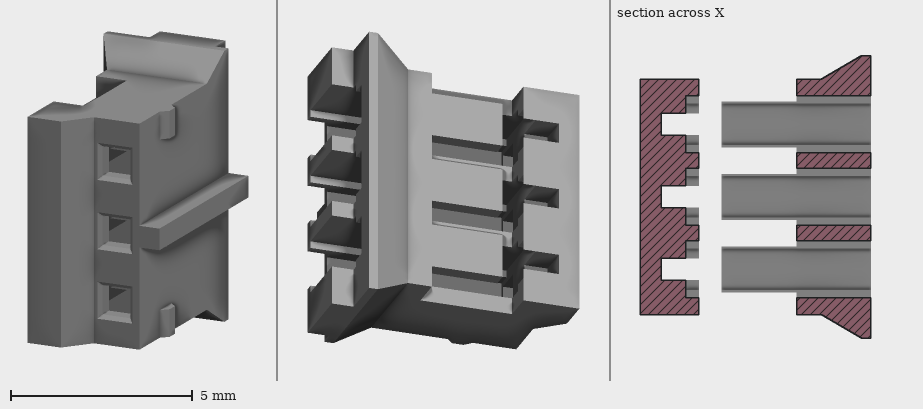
import cadquery as cq


total_height = 7.8
total_width = 4.31
total_depth = 7.0

body_left = 0.65
body_right = 3.705
body_height = total_height - 2 * body_left
body_front = 0.765
lip_width = 1.02
lip_slope_width = 0.64
flare_start = 5.0
flange_front = 6.11
flange_rear = 6.365

tab_left = 1.295
tab_right = 3.3

rib_thickness = 0.625
bump_height = 0.21
bump_thickness = 0.795
bump_centre = 2.395
bump_half_base = 0.37
bump_half_flat = 0.16

channel_count = 3
channel_pitch = 2.0
channel_front = 1.27
channel_width = 1.15
wide_channel_width = 1.55
skin_thickness = 0.01
wide_channel_right = 3.065

entry_centre = 2.95
entry_size = 0.85
entry_chamfer = 0.11
channel_right = entry_centre + entry_size / 2 + entry_chamfer

window_front = 1.63
window_rear = 4.305
window_floor = 1.59
tongue_tip = 2.24
tongue_back = 1.09
tongue_width = 1.27

notch_front = 0.59
notch_width = 0.585


def box(x_range, y_range, height, z_centre=0.0):
    """Box between two X and two Y positions, centred on a height along Z."""
    width = x_range[1] - x_range[0]
    depth = y_range[1] - y_range[0]
    centre = (sum(x_range) / 2, sum(y_range) / 2, z_centre)
    return cq.Workplane("XY").box(width, depth, height).translate(centre)


def make_body():
    """Housing block with its front lip and a flange flared on three sides."""
    plan = (
        cq.Workplane("XY")
        .moveTo(body_left, 0)
        .lineTo(body_left + lip_width, 0)
        .lineTo(body_left + lip_width + lip_slope_width, body_front)
        .lineTo(body_right, body_front)
        .lineTo(body_right, flange_rear)
        .lineTo(0, flange_rear)
        .lineTo(0, flange_front)
        .lineTo(body_left, flare_start)
        .close()
        .extrude(total_height / 2, both=True)
    )
    side = (
        cq.Workplane("YZ")
        .moveTo(0, body_height / 2)
        .lineTo(flare_start, body_height / 2)
        .lineTo(flange_front, total_height / 2)
        .lineTo(flange_rear, total_height / 2)
        .lineTo(flange_rear, 0)
        .lineTo(0, 0)
        .close()
        .extrude(total_width)
    )
    return plan.intersect(side.union(side.mirror("XY")))


def make_bump():
    """Flat-topped bump with sloped ends at the upper end of the right side."""
    top = body_right + bump_height
    return (
        cq.Workplane("XY", origin=(0, 0, body_height / 2 - bump_thickness))
        .moveTo(body_right, bump_centre - bump_half_base)
        .lineTo(top, bump_centre - bump_half_flat)
        .lineTo(top, bump_centre + bump_half_flat)
        .lineTo(body_right, bump_centre + bump_half_base)
        .close()
        .extrude(bump_thickness)
    )


def make_channel(z):
    """Stepped contact channel, open at the rear."""
    y_range = (channel_front, total_depth)
    narrow = box((body_left + skin_thickness, channel_right), y_range, channel_width, z)
    wide = box((tongue_back, wide_channel_right), y_range, wide_channel_width, z)
    return narrow.union(wide)


def make_entry(z):
    """Square hole with a chamfered mouth from the front face into a channel."""
    x_range = (entry_centre - entry_size / 2, entry_centre + entry_size / 2)
    hole = box(x_range, (body_front, channel_front), entry_size, z)
    mouth_size = entry_size + 2 * entry_chamfer
    mouth = (
        cq.Workplane("XZ", origin=(entry_centre, body_front, z))
        .rect(mouth_size, mouth_size)
        .workplane(offset=-entry_chamfer)
        .rect(entry_size, entry_size)
        .loft()
    )
    return hole.union(mouth)


result = make_body()
result = result.union(box((tab_left, tab_right), (flange_rear, total_depth), total_height))
result = result.union(box((body_right, total_width), (body_front, flange_rear), rib_thickness))
bump = make_bump()
result = result.union(bump).union(bump.mirror("XY"))

result = result.cut(box((body_left, window_floor), (window_front, window_rear), body_height))
channel_heights = [(i - (channel_count - 1) / 2) * channel_pitch for i in range(channel_count)]
for z in channel_heights:
    result = result.union(box((body_left, tongue_back), (tongue_tip, window_rear), tongue_width, z))

for z in channel_heights:
    result = result.cut(make_channel(z))
    result = result.cut(make_entry(z))
    result = result.cut(box((body_left, window_floor), (notch_front, window_front), notch_width, z))